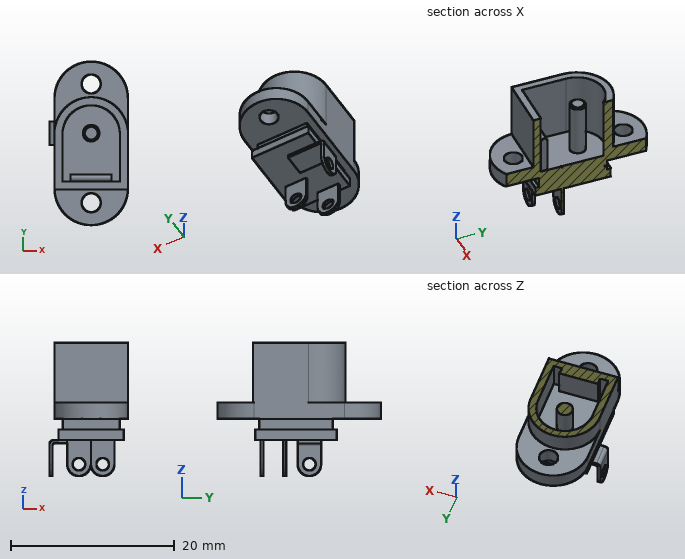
import cadquery as cq

flange_length = 20.0
width = 9.0
flange_thickness = 2.0
mount_hole_diameter = 2.3
mount_hole_spacing = 14.5

shell_length = 11.3
shell_top = 9.3
wall = 1.0
socket_floor = 1.0

pin_diameter = 2.0
pin_y = 1.25
pin_top = 8.0
pin_chamfer = 0.2
spring_width = 5.0
spring_depth = 0.85
spring_top = 6.0

neck_width = width - 2 * wall
neck_length = 9.0
step_width = 8.0
step_length = 10.0
base_y = -0.4
layer_height = 1.3
base_bottom = -2 * layer_height

lug_width = 2.9
lug_thickness = 0.4
lug_drop = 4.4
lug_hole_diameter = 1.5
lug_embed = 0.2
rear_lug_x = 1.4
rear_lug_y = -1.75
front_lug_x = -1.5
front_lug_y = -4.55
side_lug_outer_x = -5.1
bend_outer_radius = 0.5
bend_inner_radius = 0.2


def d_prism(d_width, d_length, bottom, top):
    """Prism with a flat -Y end and a full round +Y end."""
    half_width = d_width / 2
    half_length = d_length / 2
    arc_y = half_length - half_width
    return (
        cq.Workplane("XY", origin=(0, 0, bottom))
        .moveTo(-half_width, -half_length)
        .lineTo(half_width, -half_length)
        .lineTo(half_width, arc_y)
        .threePointArc((0, half_length), (-half_width, arc_y))
        .close()
        .extrude(top - bottom)
    )


def make_flange():
    return (
        cq.Workplane("XY")
        .slot2D(flange_length, width, 90)
        .extrude(flange_thickness)
        .cut(
            cq.Workplane("XY")
            .pushPoints([(0, -mount_hole_spacing / 2), (0, mount_hole_spacing / 2)])
            .circle(mount_hole_diameter / 2)
            .extrude(flange_thickness)
        )
    )


def make_base():
    neck = cq.Workplane("XY").center(0, base_y).rect(neck_width, neck_length).extrude(-layer_height)
    step = (
        cq.Workplane("XY", origin=(0, base_y, -layer_height))
        .rect(step_width, step_length)
        .extrude(-layer_height)
    )
    return neck.union(step)


def make_pin():
    return (
        cq.Workplane("XY", origin=(0, pin_y, socket_floor))
        .circle(pin_diameter / 2)
        .extrude(pin_top - socket_floor)
        .faces(">Z")
        .chamfer(pin_chamfer)
    )


def make_spring():
    """Folded contact standing against the flat socket wall, with a half-round top."""
    wall_y = wall - shell_length / 2
    radius = spring_depth / 2
    arc_z = spring_top - radius
    return (
        cq.Workplane("YZ", origin=(-spring_width / 2, 0, 0))
        .moveTo(wall_y, socket_floor)
        .lineTo(wall_y, arc_z)
        .threePointArc((wall_y + radius, spring_top), (wall_y + spring_depth, arc_z))
        .lineTo(wall_y + spring_depth, socket_floor)
        .close()
        .extrude(spring_width)
    )


def make_lug(top):
    """Upright lug centred on the Z axis, broad face along X, with a round pierced tip."""
    radius = lug_width / 2
    tip_z = base_bottom - lug_drop
    arc_z = tip_z + radius
    return (
        cq.Workplane("XZ", origin=(0, lug_thickness / 2, 0))
        .moveTo(-radius, top)
        .lineTo(radius, top)
        .lineTo(radius, arc_z)
        .threePointArc((0, tip_z), (-radius, arc_z))
        .close()
        .moveTo(0, arc_z)
        .circle(lug_hole_diameter / 2)
        .extrude(lug_thickness)
    )


def make_side_lug():
    """Lug turned to face -X, bent from a strip lying under the base."""
    strip_length = -side_lug_outer_x
    upright = (
        make_lug(base_bottom)
        .rotate((0, 0, 0), (0, 0, 1), 90)
        .translate((side_lug_outer_x + lug_thickness / 2, pin_y, 0))
    )
    strip = cq.Workplane("XY").box(
        strip_length, lug_width, lug_thickness, centered=(False, True, False)
    ).translate((side_lug_outer_x, pin_y, base_bottom - lug_thickness))
    bent = upright.union(strip)
    inner_x = side_lug_outer_x + lug_thickness
    inner_corner = cq.selectors.NearestToPointSelector((inner_x, pin_y, base_bottom - lug_thickness))
    bent = bent.edges("|Y").edges(inner_corner).fillet(bend_inner_radius)
    return bent.faces("<X").edges(">Z").fillet(bend_outer_radius)


shell = d_prism(width, shell_length, flange_thickness, shell_top)
cavity = d_prism(neck_width, shell_length - 2 * wall, socket_floor, shell_top)

result = make_flange().union(shell).cut(cavity).union(make_base())
result = result.union(make_pin()).union(make_spring())
for lug_x, lug_y in [(rear_lug_x, rear_lug_y), (front_lug_x, front_lug_y)]:
    result = result.union(make_lug(base_bottom + lug_embed).translate((lug_x, lug_y, 0)))
result = result.union(make_side_lug())